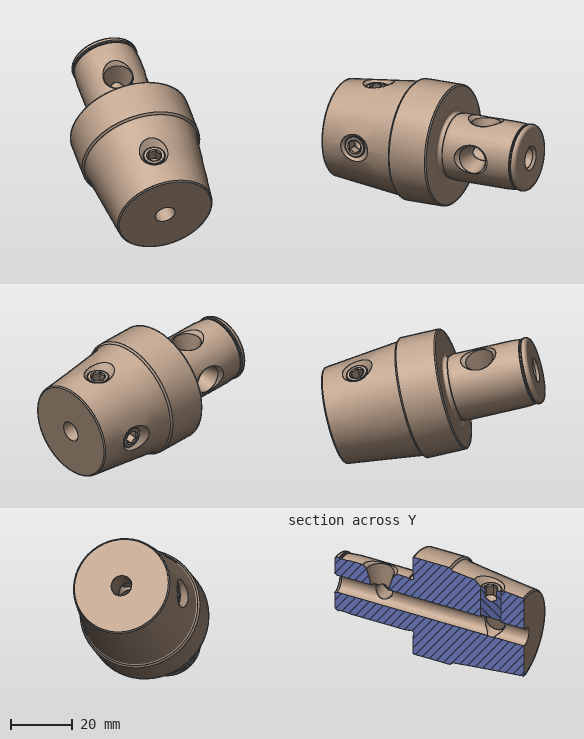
import cadquery as cq
import math


SIDE_ANGLES = [0, -90]

TOTAL_LENGTH = 68.0
FLANGE_FACE_X = 28.0
FLANGE_END_X = 41.9

SHANK_RADIUS = 11.0
SHANK_FACE_RADIUS = 9.7
LIP_RADIUS = SHANK_RADIUS - SHANK_FACE_RADIUS
LIP_END_X = 1.6
GROOVE_RADIUS = 10.6
GROOVE_START_X = 1.9
GROOVE_END_X = 2.3
LEAD_TAPER_START_X = 2.5
LEAD_TAPER_START_RADIUS = 10.75
LEAD_TAPER_END_X = 6.0
REAR_TAPER_START_X = 25.4
REAR_TAPER_END_X = 26.65
REAR_TAPER_END_RADIUS = 10.8
RELIEF_START_X = 26.85

UNDERCUT_FILLET = 0.7
UNDERCUT_DEPTH = 0.3
UNDERCUT_OUTER_RADIUS = 12.7

FLANGE_RADIUS = 20.0
FLANGE_FRONT_CHAMFER = 0.4
FLANGE_REAR_CHAMFER = 0.6

NOSE_FILLET = 0.35
NOSE_START_RADIUS = 19.0
NOSE_RIM_RADIUS = 16.05
NOSE_CHAMFER = 0.4

BORE_RADIUS = 3.4
BORE_CHAMFER_WIDTH = 0.6
BORE_CHAMFER_DEPTH = 0.95

LOCK_HOLE_X = 16.2
LOCK_CONE_HALF_ANGLE = 15
LOCK_MOUTH_RADIUS = 4.7
LOCK_MOUTH_HEIGHT = 9.7

SCREW_X = 55.9
SCREW_RADIUS = 3.6
SCREW_LENGTH = 12.05
SCREW_CHAMFER = 0.3
SCREW_TOP = 16.05
COUNTERSINK_START = 15.85
SOCKET_FLATS = 4.0
SOCKET_DEPTH = 4.0
SOCKET_CHAMFER_RADIUS = 2.45
SOCKET_POINT_ANGLE = 118


def frustum(bottom_radius, top_radius, bottom, top, x):
    """Cone frustum standing along Z at the given X."""
    return cq.Workplane(
        cq.Solid.makeCone(bottom_radius, top_radius, top - bottom, pnt=cq.Vector(x, 0, bottom))
    )


def around_axis(shape, angle):
    """Shape turned about the X axis."""
    return shape.rotate((0, 0, 0), (1, 0, 0), angle)


def make_turned_blank():
    """Revolved outline of shank, flange and nose."""
    diagonal = math.sqrt(0.5)
    lip_end_radius = SHANK_FACE_RADIUS + math.sqrt(LIP_RADIUS**2 - (LIP_END_X - LIP_RADIUS) ** 2)
    undercut_center_x = FLANGE_FACE_X + UNDERCUT_DEPTH - UNDERCUT_FILLET
    undercut_center_r = GROOVE_RADIUS + UNDERCUT_FILLET
    nose_start_x = FLANGE_END_X + NOSE_FILLET
    outline = (
        cq.Workplane("XY")
        .moveTo(0, 0)
        .lineTo(0, SHANK_FACE_RADIUS)
        .threePointArc(
            (LIP_RADIUS * (1 - diagonal), SHANK_FACE_RADIUS + LIP_RADIUS * diagonal),
            (LIP_END_X, lip_end_radius),
        )
        .lineTo(GROOVE_START_X, GROOVE_RADIUS)
        .lineTo(GROOVE_END_X, GROOVE_RADIUS)
        .lineTo(LEAD_TAPER_START_X, LEAD_TAPER_START_RADIUS)
        .lineTo(LEAD_TAPER_END_X, SHANK_RADIUS)
        .lineTo(REAR_TAPER_START_X, SHANK_RADIUS)
        .lineTo(REAR_TAPER_END_X, REAR_TAPER_END_RADIUS)
        .lineTo(RELIEF_START_X, GROOVE_RADIUS)
        .lineTo(undercut_center_x, GROOVE_RADIUS)
        .threePointArc(
            (
                undercut_center_x + UNDERCUT_FILLET * diagonal,
                undercut_center_r - UNDERCUT_FILLET * diagonal,
            ),
            (undercut_center_x + UNDERCUT_FILLET, undercut_center_r),
        )
        .lineTo(FLANGE_FACE_X, UNDERCUT_OUTER_RADIUS)
        .lineTo(FLANGE_FACE_X, FLANGE_RADIUS - FLANGE_FRONT_CHAMFER)
        .lineTo(FLANGE_FACE_X + FLANGE_FRONT_CHAMFER, FLANGE_RADIUS)
        .lineTo(FLANGE_END_X - FLANGE_REAR_CHAMFER, FLANGE_RADIUS)
        .lineTo(FLANGE_END_X, FLANGE_RADIUS - FLANGE_REAR_CHAMFER)
        .lineTo(FLANGE_END_X, NOSE_START_RADIUS + NOSE_FILLET)
        .threePointArc(
            (
                nose_start_x - NOSE_FILLET * diagonal,
                NOSE_START_RADIUS + NOSE_FILLET * (1 - diagonal),
            ),
            (nose_start_x, NOSE_START_RADIUS),
        )
        .lineTo(TOTAL_LENGTH - NOSE_CHAMFER, NOSE_RIM_RADIUS)
        .lineTo(TOTAL_LENGTH, NOSE_RIM_RADIUS - NOSE_CHAMFER)
        .lineTo(TOTAL_LENGTH, 0)
        .close()
    )
    return outline.revolve(360, (0, 0, 0), (1, 0, 0))


def make_bore():
    """Through bore along X with a chamfered mouth at the shank end."""
    return (
        cq.Workplane("XY")
        .moveTo(0, 0)
        .lineTo(0, BORE_RADIUS + BORE_CHAMFER_WIDTH)
        .lineTo(BORE_CHAMFER_DEPTH, BORE_RADIUS)
        .lineTo(TOTAL_LENGTH, BORE_RADIUS)
        .lineTo(TOTAL_LENGTH, 0)
        .close()
        .revolve(360, (0, 0, 0), (1, 0, 0))
    )


def make_lock_hole():
    """Tapered hole from the bore axis up, with a 45 degree countersink."""
    axis_radius = LOCK_MOUTH_RADIUS - LOCK_MOUTH_HEIGHT * math.tan(math.radians(LOCK_CONE_HALF_ANGLE))
    countersink_rise = SHANK_RADIUS - LOCK_MOUTH_HEIGHT
    taper = frustum(axis_radius, LOCK_MOUTH_RADIUS, 0, LOCK_MOUTH_HEIGHT, LOCK_HOLE_X)
    countersink = frustum(
        LOCK_MOUTH_RADIUS,
        LOCK_MOUTH_RADIUS + countersink_rise,
        LOCK_MOUTH_HEIGHT,
        SHANK_RADIUS,
        LOCK_HOLE_X,
    )
    return taper.union(countersink)


def make_screw_hole():
    """Straight hole from the bore axis up, with a 45 degree countersink."""
    countersink_rise = NOSE_START_RADIUS - COUNTERSINK_START
    shaft = cq.Workplane("XY").center(SCREW_X, 0).circle(SCREW_RADIUS).extrude(COUNTERSINK_START)
    countersink = frustum(
        SCREW_RADIUS, SCREW_RADIUS + countersink_rise, COUNTERSINK_START, NOSE_START_RADIUS, SCREW_X
    )
    return shaft.union(countersink)


def make_housing():
    """Turned body with its bore, locking holes and screw holes."""
    body = make_turned_blank().cut(make_bore())
    for angle in SIDE_ANGLES:
        body = body.cut(around_axis(make_lock_hole(), angle))
        body = body.cut(around_axis(make_screw_hole(), angle))
    return body


def make_screw(angle):
    """Set screw with chamfered ends and a hexagon socket."""
    screw = (
        cq.Workplane("XY", origin=(SCREW_X, 0, SCREW_TOP - SCREW_LENGTH))
        .circle(SCREW_RADIUS)
        .extrude(SCREW_LENGTH)
        .edges("%CIRCLE")
        .chamfer(SCREW_CHAMFER)
    )
    socket_floor = SCREW_TOP - SOCKET_DEPTH
    corner_diameter = SOCKET_FLATS / math.cos(math.pi / 6)
    socket = (
        cq.Workplane("XY", origin=(SCREW_X, 0, socket_floor))
        .transformed(rotate=(0, 0, 90))
        .polygon(6, corner_diameter)
        .extrude(SOCKET_DEPTH)
    )
    point_radius = SOCKET_FLATS / 2
    point_depth = point_radius / math.tan(math.radians(SOCKET_POINT_ANGLE / 2))
    drill_point = frustum(0, point_radius, socket_floor - point_depth, socket_floor, SCREW_X)
    lead_in = frustum(0, SOCKET_CHAMFER_RADIUS, SCREW_TOP - SOCKET_CHAMFER_RADIUS, SCREW_TOP, SCREW_X)
    return around_axis(screw.cut(socket).cut(drill_point).cut(lead_in), angle)


housing = make_housing()
screws = [make_screw(angle) for angle in SIDE_ANGLES]

result = cq.Compound.makeCompound([housing.val(), *[screw.val() for screw in screws]])